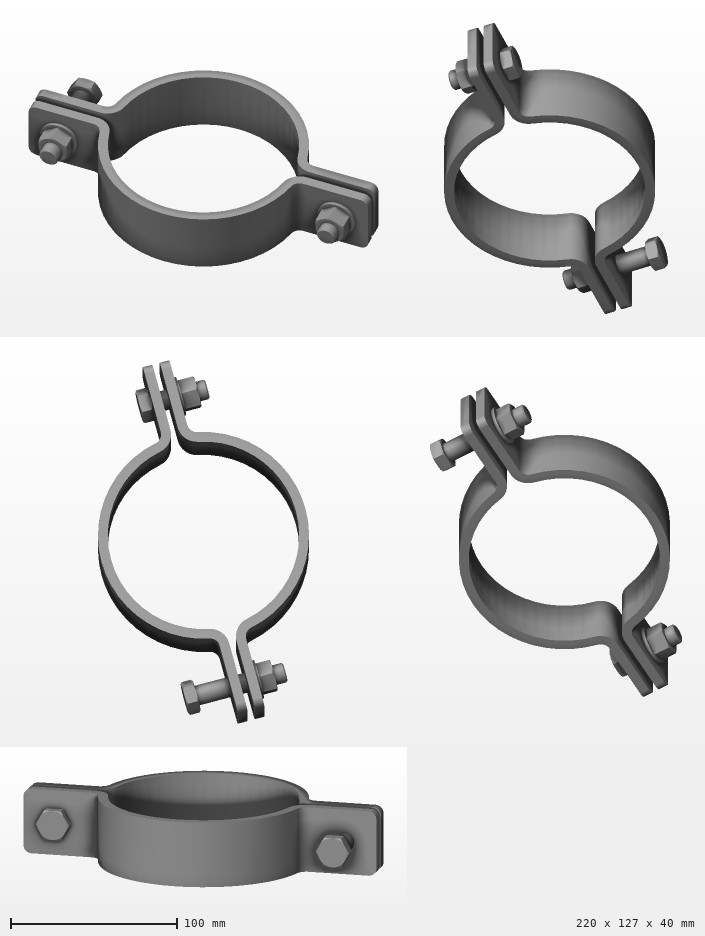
import cadquery as cq
import math

overall_length = 220.0
ring_diameter = 127.0
strap_thickness = 6.0
strap_width = 40.0
ear_gap = 4.6
ear_corner_radius = 5.0

bolt_inset = 20.0
shank_diameter = 12.0
tip_chamfer = 0.9
tip_y = -26.6
hex_sides = 6
hex_across_flats = 18.0
hex_chamfer_angle = 30.0
nut_turn = 33.0
head_height = 7.5
washer_diameter = 24.0
washer_thickness = 2.0
loose_head_seat_y = 28.5
short_nut_height = 9.2
tall_nut_height = 10.3

ring_outer_radius = ring_diameter / 2
ring_inner_radius = ring_outer_radius - strap_thickness
ear_inner_y = ear_gap / 2
ear_outer_y = ear_inner_y + strap_thickness
bend_inner_radius = strap_thickness
bend_outer_radius = bend_inner_radius + strap_thickness
nut_seat_y = -ear_outer_y - washer_thickness
bolt_x = overall_length / 2 - bolt_inset
hex_across_corners = hex_across_flats / math.cos(math.pi / hex_sides)

bend_center_y = ear_outer_y + bend_inner_radius
bend_center_distance = ring_outer_radius + bend_inner_radius
bend_center_x = math.sqrt(bend_center_distance**2 - bend_center_y**2)
ring_end_angle = math.asin(bend_center_y / bend_center_distance)


def ring_end(radius):
    """Right-hand end of the half ring at the given radius."""
    return radius * math.cos(ring_end_angle), radius * math.sin(ring_end_angle)


def bend_middle(radius):
    """Point halfway around the right-hand bend, whose arc runs from the ring down to the ear."""
    ring_direction = math.pi + ring_end_angle
    ear_direction = 3 * math.pi / 2
    direction = (ring_direction + ear_direction) / 2
    x = bend_center_x + radius * math.cos(direction)
    y = bend_center_y + radius * math.sin(direction)
    return x, y


def mirrored(point):
    """Same point on the left-hand side."""
    return -point[0], point[1]


def make_strap():
    """Strap on the +Y side, centred on Z = 0."""
    ear_end_x = overall_length / 2
    outer_end = ring_end(ring_outer_radius)
    inner_end = ring_end(ring_inner_radius)
    outer_bend = bend_middle(bend_inner_radius)
    inner_bend = bend_middle(bend_outer_radius)
    strap = (
        cq.Workplane("XY", origin=(0, 0, -strap_width / 2))
        .moveTo(ear_end_x, ear_inner_y)
        .lineTo(ear_end_x, ear_outer_y)
        .lineTo(bend_center_x, ear_outer_y)
        .threePointArc(outer_bend, outer_end)
        .threePointArc((0, ring_outer_radius), mirrored(outer_end))
        .threePointArc(mirrored(outer_bend), (-bend_center_x, ear_outer_y))
        .lineTo(-ear_end_x, ear_outer_y)
        .lineTo(-ear_end_x, ear_inner_y)
        .lineTo(-bend_center_x, ear_inner_y)
        .threePointArc(mirrored(inner_bend), mirrored(inner_end))
        .threePointArc((0, ring_inner_radius), inner_end)
        .threePointArc(inner_bend, (bend_center_x, ear_inner_y))
        .close()
        .extrude(strap_width)
    )
    strap = strap.edges("|Y and (<X or >X)").fillet(ear_corner_radius)
    for side in (-1, 1):
        strap = strap.cut(cylinder(shank_diameter, side * bolt_x, 0, ear_outer_y))
    return strap


def cylinder(diameter, x, low_y, high_y):
    """Round bar along Y from low_y to high_y."""
    plane = cq.Workplane("XZ", origin=(x, high_y, 0))
    return plane.circle(diameter / 2).extrude(high_y - low_y)


def hex_prism(x, low_y, high_y, turn):
    """Hexagonal bar along Y; turn is its rotation about Y in degrees from a corner along X."""
    plane = cq.Workplane("XZ", origin=(x, high_y, 0)).transformed(rotate=(0, 0, turn))
    return plane.polygon(hex_sides, hex_across_corners).extrude(high_y - low_y)


def trim_corners(prism, x, low_y, high_y, ends):
    """Trim the corners of a hexagonal bar with a cone at each of its selected ends."""
    cone_width = (hex_across_corners - hex_across_flats) / 2
    cone_height = cone_width * math.tan(math.radians(hex_chamfer_angle))
    bar = cylinder(hex_across_corners, x, low_y, high_y)
    return prism.intersect(bar.faces(ends).chamfer(cone_height, cone_width))


def make_bolt(x, head_seat_y):
    """Bolt along Y with the corners of its head trimmed at both ends."""
    shank = cylinder(shank_diameter, x, tip_y, head_seat_y).faces("<Y").chamfer(tip_chamfer)
    head_top_y = head_seat_y + head_height
    head = hex_prism(x, head_seat_y, head_top_y, 0)
    return shank.union(trim_corners(head, x, head_seat_y, head_top_y, "<Y or >Y"))


def make_washer(x):
    """Washer lying against the front ear."""
    disc = cylinder(washer_diameter, x, nut_seat_y, -ear_outer_y)
    return disc.cut(cylinder(shank_diameter, x, nut_seat_y, -ear_outer_y))


def make_nut(x, height):
    """Nut lying against the washer, with its corners trimmed at the free end."""
    free_y = nut_seat_y - height
    nut = hex_prism(x, free_y, nut_seat_y, nut_turn)
    nut = trim_corners(nut, x, free_y, nut_seat_y, "<Y")
    return nut.cut(cylinder(shank_diameter, x, free_y, nut_seat_y))


back_strap = make_strap()
front_strap = back_strap.mirror("XZ")
bodies = [back_strap, front_strap]

bolt_positions = (
    (-bolt_x, loose_head_seat_y, short_nut_height),
    (bolt_x, ear_outer_y, tall_nut_height),
)
for x, head_seat_y, nut_height in bolt_positions:
    bodies.append(make_bolt(x, head_seat_y))
    bodies.append(make_washer(x))
    bodies.append(make_nut(x, nut_height))

result = cq.Compound.makeCompound([body.val() for body in bodies])